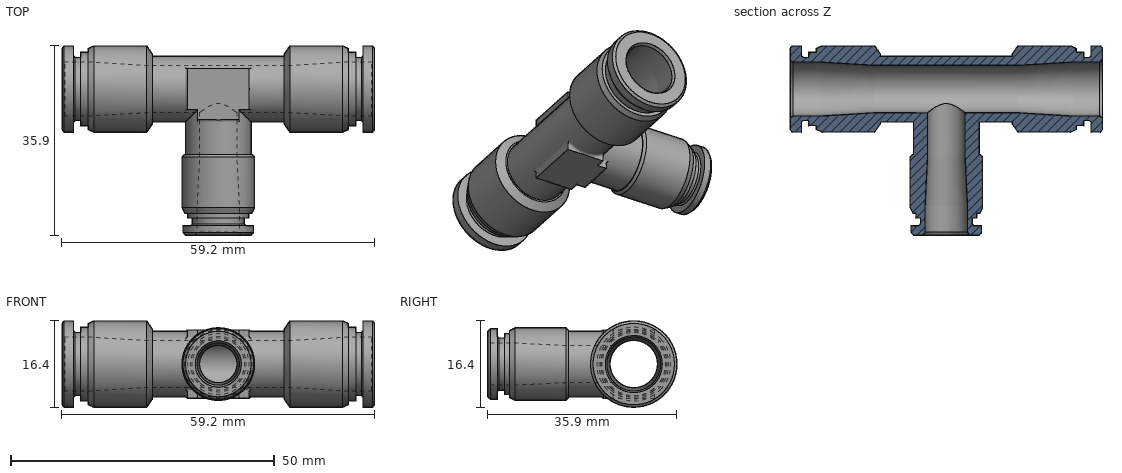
import cadquery as cq


RUN_REACH = 29.6
BRANCH_REACH = 27.7
PIPE_RADIUS = 6.25

MOUTH_FLARE_LENGTH = 0.6
NECK_FLARE = 0.3
SOCKET_DEPTH = 5.6

PAD_TOP = 6.5
PAD_HALF_LENGTH = 5.8
PAD_HALF_WIDTH = 3.9
PAD_STEM_REACH = 5.75
PAD_FILLET = 0.5
PAD_BLANK_TOP = PAD_TOP + 2.0
EDGE_TOLERANCE = 0.01

RUN_PORT = dict(
    reach=RUN_REACH,
    collar_radius=8.2,
    collar_length=2.2,
    collar_chamfer_length=0.4,
    collar_chamfer_depth=0.5,
    neck_radius=6.0,
    neck_length=1.35,
    shoulder_radius=7.0,
    shoulder_length=1.4,
    body_radius=8.2,
    body_length=11.1,
    body_bevel_length=1.1,
    body_bevel_depth=0.5,
    cone_length=1.1,
    cone_depth=1.6,
    socket_radius=5.1,
    mouth_radius=5.4,
    bore_radius=4.47,
)

BRANCH_PORT = dict(
    reach=BRANCH_REACH,
    collar_radius=6.7,
    collar_length=1.85,
    collar_chamfer_length=0.55,
    collar_chamfer_depth=0.5,
    neck_radius=4.96,
    neck_length=1.4,
    shoulder_radius=5.8,
    shoulder_length=0.9,
    body_radius=6.9,
    body_length=10.7,
    body_bevel_length=1.1,
    body_bevel_depth=0.55,
    cone_length=0.5,
    cone_depth=0.5,
    socket_radius=4.0,
    mouth_radius=4.37,
    bore_radius=3.53,
)


def revolve_about_x(points):
    """Revolve a closed (distance along X, radius) outline about the X axis."""
    return cq.Workplane("XY").polyline(points).close().revolve(360, (0, 0, 0), (1, 0, 0))


def shoulder_end(port):
    """Outer end of the shoulder, where the neck begins."""
    return port["reach"] - port["collar_length"] - port["neck_length"]


def body_end(port):
    """Outer end of the body, where the shoulder begins."""
    return shoulder_end(port) - port["shoulder_length"]


def body_start(port):
    """Inner end of the full-diameter body, where its cone begins."""
    return body_end(port) - port["body_length"]


def port_outside(port):
    """Pipe, body, shoulder, neck and release collar of a port that faces +X."""
    reach = port["reach"]
    collar_back = reach - port["collar_length"]
    neck_start = shoulder_end(port)
    body_front = body_end(port)
    body_back = body_start(port)
    cone_start = body_back - port["cone_length"]
    collar_radius = port["collar_radius"]
    body_radius = port["body_radius"]
    outline = [
        (0, 0),
        (0, PIPE_RADIUS),
        (cone_start, PIPE_RADIUS),
        (cone_start, body_radius - port["cone_depth"]),
        (body_back, body_radius),
        (body_front - port["body_bevel_length"], body_radius),
        (body_front, body_radius - port["body_bevel_depth"]),
        (body_front, port["shoulder_radius"]),
        (neck_start, port["shoulder_radius"]),
        (neck_start, port["neck_radius"]),
        (collar_back - NECK_FLARE, port["neck_radius"]),
        (collar_back, port["neck_radius"] + NECK_FLARE),
        (collar_back, collar_radius),
        (reach - port["collar_chamfer_length"], collar_radius),
        (reach, collar_radius - port["collar_chamfer_depth"]),
        (reach, 0),
    ]
    return revolve_about_x(outline)


def port_inside(port):
    """Bore, tapered throat, tube socket and flared mouth of a port that faces +X."""
    reach = port["reach"]
    socket_radius = port["socket_radius"]
    outline = [
        (0, 0),
        (0, port["bore_radius"]),
        (body_start(port), port["bore_radius"]),
        (reach - SOCKET_DEPTH, socket_radius),
        (reach - MOUTH_FLARE_LENGTH, socket_radius),
        (reach, port["mouth_radius"]),
        (reach, 0),
    ]
    return revolve_about_x(outline)


def place_ports(make):
    """Set one port shape at each end of the run and one on the branch."""
    run_port = make(RUN_PORT)
    branch_port = make(BRANCH_PORT).rotate((0, 0, 0), (0, 0, 1), -90)
    return run_port.union(run_port.mirror("YZ")).union(branch_port)


def pad_blank():
    """T-shaped block through the crossing, left tall for filleting."""
    outline = [
        (-PAD_HALF_LENGTH, PAD_HALF_WIDTH),
        (PAD_HALF_LENGTH, PAD_HALF_WIDTH),
        (PAD_HALF_LENGTH, -PAD_HALF_WIDTH),
        (PAD_HALF_WIDTH, -PAD_HALF_WIDTH),
        (PAD_HALF_WIDTH, -PAD_STEM_REACH),
        (-PAD_HALF_WIDTH, -PAD_STEM_REACH),
        (-PAD_HALF_WIDTH, -PAD_HALF_WIDTH),
        (-PAD_HALF_LENGTH, -PAD_HALF_WIDTH),
    ]
    return cq.Workplane("XY").polyline(outline).close().extrude(PAD_BLANK_TOP, both=True)


def is_pad_foot(edge):
    """True for an edge where a pad wall meets a pipe, either above or below."""
    box = edge.BoundingBox()
    inside_pad = (
        box.xmax < PAD_HALF_LENGTH + EDGE_TOLERANCE
        and box.xmin > -PAD_HALF_LENGTH - EDGE_TOLERANCE
        and box.ymax < PAD_HALF_WIDTH + EDGE_TOLERANCE
        and box.ymin > -PAD_STEM_REACH - EDGE_TOLERANCE
    )
    lowest = min(abs(box.zmin), abs(box.zmax))
    highest = max(abs(box.zmin), abs(box.zmax))
    on_pipe = lowest > PIPE_RADIUS / 2 and highest < PIPE_RADIUS + EDGE_TOLERANCE
    return inside_pad and on_pipe


def add_pads(fitting):
    """Fillet a tall pad block onto the pipes, then trim it flat at pad height."""
    padded = fitting.union(pad_blank())
    foot_edges = [edge for edge in padded.edges().vals() if is_pad_foot(edge)]
    padded = padded.newObject(foot_edges).fillet(PAD_FILLET)
    trim_size = 2 * (PAD_HALF_LENGTH + PAD_FILLET)
    trim_height = PAD_BLANK_TOP - PAD_TOP
    for trim_middle in (PAD_TOP + trim_height / 2, -PAD_TOP - trim_height / 2):
        trim = cq.Workplane("XY").box(trim_size, trim_size, trim_height)
        padded = padded.cut(trim.translate((0, 0, trim_middle)))
    return padded


result = add_pads(place_ports(port_outside)).cut(place_ports(port_inside))